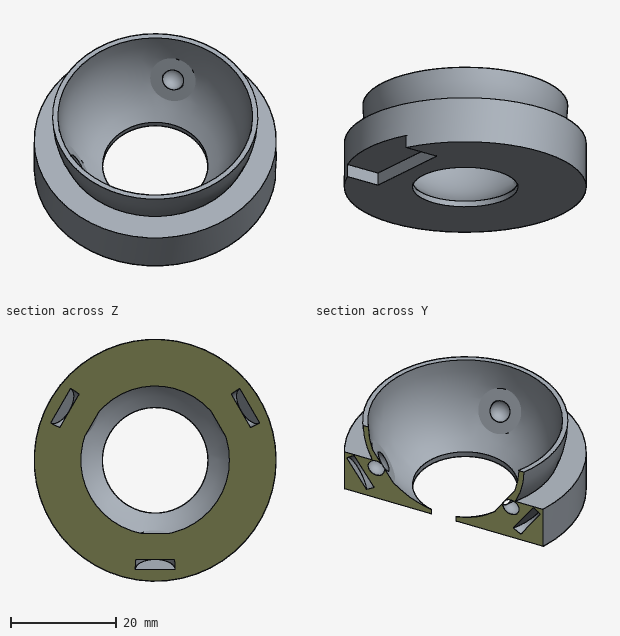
import cadquery as cq
import math

base_diameter = 46.0
base_height = 9.0
total_height = 16.7
bowl_inner_radius = 18.5
bowl_wall = 1.0
bowl_outer_radius = bowl_inner_radius + bowl_wall
drain_diameter = 20.0

seat_directions = (30.0, 150.0, 270.0)
seat_slope = 30.0
pad_diameter = 8.8
pad_distance = math.sqrt(bowl_inner_radius**2 - (pad_diameter / 2) ** 2)
ball_diameter = 4.45
ball_distance = 18.85

cavity_diameter = 7.5
cavity_distance = 22.3
cavity_depth = 1.6

notch_width = 18.5
notch_height = 2.5
notch_inner_y = 13.8


def sphere_at_bowl_center(radius):
    return cq.Workplane("XY").sphere(radius).translate((0, 0, total_height))


def seat_plane(direction, distance):
    """Plane across a seat axis, facing outward, at a distance from the bowl's center."""
    azimuth = math.radians(direction)
    slope = math.radians(seat_slope)
    normal = cq.Vector(
        math.cos(slope) * math.cos(azimuth),
        math.cos(slope) * math.sin(azimuth),
        -math.sin(slope),
    )
    origin = cq.Vector(0, 0, total_height) + normal * distance
    tangent = cq.Vector(-math.sin(azimuth), math.cos(azimuth), 0)
    return cq.Plane(origin=origin, xDir=tangent, normal=normal)


def seat_cylinder(direction, distance, diameter, length):
    plane = seat_plane(direction, distance)
    return cq.Workplane(plane).circle(diameter / 2).extrude(length)


def make_body():
    base = cq.Workplane("XY").circle(base_diameter / 2).extrude(base_height)
    envelope = cq.Workplane("XY").circle(bowl_outer_radius).extrude(total_height)
    bowl = sphere_at_bowl_center(bowl_outer_radius).intersect(envelope)
    return base.union(bowl)


def make_hollow():
    """Inside of the bowl, flattened at each seat by a circular pad."""
    hollow = sphere_at_bowl_center(bowl_inner_radius)
    for direction in seat_directions:
        pad = seat_cylinder(direction, pad_distance, pad_diameter, bowl_wall)
        hollow = hollow.cut(pad)
    return hollow


def make_ball_socket(direction):
    """Spherical socket in a pad, centered just behind the pad's face."""
    return cq.Workplane(seat_plane(direction, ball_distance)).sphere(ball_diameter / 2)


def make_notch():
    notch_length = base_diameter / 2 - notch_inner_y
    notch = cq.Workplane("XY").box(
        notch_width, notch_length, notch_height, centered=(True, False, False)
    )
    return notch.translate((0, notch_inner_y, 0))


result = make_body().cut(make_hollow())
result = result.cut(cq.Workplane("XY").circle(drain_diameter / 2).extrude(base_height))
for direction in seat_directions:
    result = result.cut(make_ball_socket(direction))
    result = result.cut(seat_cylinder(direction, cavity_distance, cavity_diameter, cavity_depth))
result = result.cut(make_notch())
result = cq.Workplane(result.val().Solids()[0])